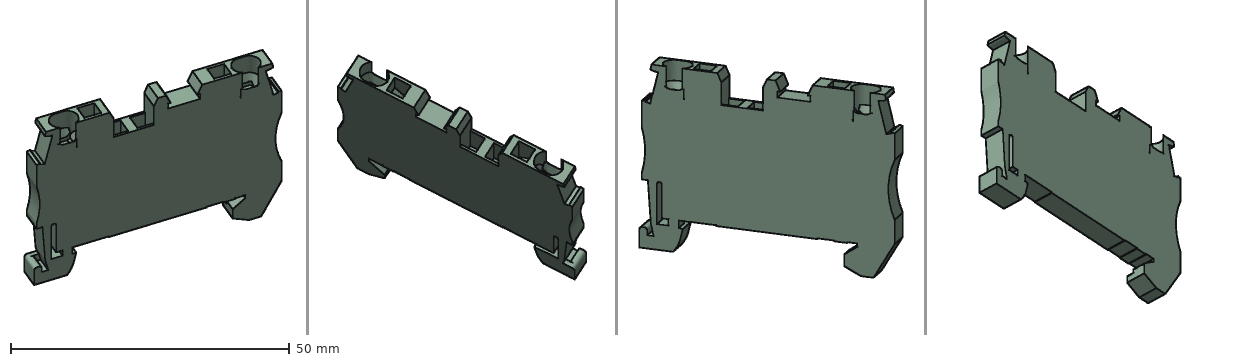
import cadquery as cq
import math


thickness = 4.15
height = 35.25
half_length = 24.3
foot_end = 24.8
base_z = 6.15

top_half_length = 22.45
ear_tip = (22.65, 34.3)
ear_lower_tip = (22.3, 34.1)
notch_top = (21.15, 33.9)
notch_bottom = (22.7, 27.75)
notch_lip_foot = (23.55, 28.0)
notch_lip = (23.6, 28.3)
shoulder_z = 28.1

grip_top_z = 23.05
hook_grip_bottom_z = 11.6
hook_grip_depth = 1.25
foot_grip_bottom_z = 14.35
foot_grip_depth = 0.65

hook_slope_z = 6.95
hook_heel_y = 20.25
hook_toe_y = 17.8
hook_tip_y = 14.6
hook_tip_bottom_z = 1.5
hook_tip_top_z = 2.95
hook_throat_y = 17.9
hook_throat_z = 5.2

rib_setback = 1.45
rib_throat_y = 17.1
rib_throat_z = 5.5
rib_tip_z = 3.75
stop_start_y = -19.15
stop_length = 1.95

shoulder_bottom_z = 13.05
leg_top_y = -23.15
leg_kink = (-22.6, 5.1)
leg_bottom_y = -22.35
heel_z = 4.05
heel_radius = 0.65
heel_round_inset = heel_radius * (1 - math.sqrt(0.5))
heel_ridge_width = 1.55
foot_sole_y = -18.25
foot_curve_mid = (-17.55, 1.05)
foot_curve_start = (-17.0, 2.25)
foot_toe = (-16.4, 4.6)
foot_slit_z = 4.9
ledge_groove_setback = 1.0
ledge_groove_depth = 1.45
slit_outer_y = -21.35
slit_width = 0.95
slit_top_z = 13.0

pad_height = 0.15
base_pads = [(-10.0, 9.45), (12.65, 15.05)]

flare_z = 33.6
groove_floor_z = 32.05
groove_snap_z = 33.2
groove_start_y = 1.75
groove_end_y = 8.1
groove_snap = 0.55
groove_mouth_start_y = 1.4
groove_mouth_end_y = 8.55
post_end_y = -0.25
recess_start_y = -9.0
recess_end_y = -1.05
recess_floor_z = 29.2
recess_flare_y = -9.75

well_width = 3.2
well_length = 3.05
well_depth = 5.9

pocket_width = 2.95
pocket_inner_y = 11.2
pocket_length = 3.35
pocket_shallow_depth = 3.95
pocket_floor_angle = 35

funnel_x = 0.25
funnel_y = 18.05
funnel_radius = 2.0
funnel_straight = 1.45
funnel_entry_depth = 3.95
throat_radius = 0.85
throat_angle = 60
lead_in_length = 0.95
lead_in_angle = 65
slot_width = 1.95
slot_corner_radius = 0.5
slot_ramp_length = 0.6
slot_ramp_angle = 30


def rise(run, angle):
    """Height gained over a horizontal run at a slope given in degrees."""
    return run * math.tan(math.radians(angle))


def prism(points, x_start, x_end):
    """Closed YZ polygon extruded between two X positions."""
    sketch = cq.Workplane("YZ", origin=(x_start, 0, 0)).polyline(points).close()
    return sketch.extrude(x_end - x_start)


def rib_prism(points):
    """Closed YZ polygon extruded from the rib setback through to the +X face."""
    return prism(points, rib_setback - thickness / 2, thickness / 2)


def box(width, y_start, y_end, z_bottom, z_top):
    """Box centred on X between the given Y and Z limits."""
    size_y = y_end - y_start
    size_z = z_top - z_bottom
    center = (0, (y_start + y_end) / 2, (z_bottom + z_top) / 2)
    return cq.Workplane("XY", origin=center).box(width, size_y, size_z)


def end_notch(side):
    """Points of the marker notch from the top corner down to the shoulder; side is +1 or -1."""
    points = [
        (top_half_length, height),
        ear_tip,
        ear_lower_tip,
        notch_top,
        notch_bottom,
        notch_lip_foot,
        notch_lip,
        (half_length, shoulder_z),
    ]
    return [(side * y, z) for y, z in points]


def body():
    """Full-thickness plate with the hook, the sprung foot and the notched top edge."""
    top_edge = [
        (recess_flare_y, height),
        (recess_start_y, flare_z),
        (recess_start_y, recess_floor_z),
        (recess_end_y, recess_floor_z),
        (recess_end_y, flare_z),
        (post_end_y, height),
        (groove_mouth_start_y, height),
        (groove_start_y + groove_snap, groove_snap_z),
        (groove_start_y, groove_snap_z),
        (groove_start_y, groove_floor_z),
        (groove_end_y, groove_floor_z),
        (groove_end_y, groove_snap_z),
        (groove_end_y - groove_snap, groove_snap_z),
        (groove_mouth_end_y, height),
    ]
    hook = [
        (half_length, hook_slope_z),
        (hook_heel_y, 0),
        (hook_toe_y, 0),
        (hook_tip_y, hook_tip_bottom_z),
        (hook_tip_y, hook_tip_top_z),
        (hook_throat_y, hook_throat_z),
        (hook_throat_y, base_z),
    ]
    slit_inner_y = slit_outer_y + slit_width
    slit_radius = slit_width / 2
    slit_shoulder_z = slit_top_z - slit_radius
    hook_grip_mid_z = (grip_top_z + hook_grip_bottom_z) / 2
    foot_grip_mid_z = (grip_top_z + foot_grip_bottom_z) / 2

    outline = cq.Workplane("YZ").polyline(top_edge + end_notch(1) + [(half_length, grip_top_z)])
    outline = outline.threePointArc(
        (half_length - hook_grip_depth, hook_grip_mid_z), (half_length, hook_grip_bottom_z)
    )
    outline = outline.polyline(hook, includeCurrent=True)
    outline = outline.lineTo(slit_inner_y, base_z).lineTo(slit_inner_y, slit_shoulder_z)
    outline = outline.threePointArc(
        (slit_inner_y - slit_radius, slit_top_z), (slit_outer_y, slit_shoulder_z)
    )
    outline = outline.lineTo(slit_outer_y, foot_slit_z).lineTo(stop_start_y, foot_slit_z)
    outline = outline.lineTo(*foot_toe).lineTo(*foot_curve_start)
    outline = outline.threePointArc(foot_curve_mid, (foot_sole_y, 0))
    outline = outline.lineTo(-foot_end, 0).lineTo(-foot_end, heel_z - heel_radius)
    outline = outline.threePointArc(
        (heel_round_inset - foot_end, heel_z - heel_round_inset), (heel_radius - foot_end, heel_z)
    )
    outline = outline.lineTo(leg_bottom_y, heel_z).lineTo(*leg_kink).lineTo(leg_top_y, shoulder_bottom_z)
    outline = outline.lineTo(-half_length, shoulder_bottom_z).lineTo(-half_length, foot_grip_bottom_z)
    outline = outline.threePointArc(
        (foot_grip_depth - half_length, foot_grip_mid_z), (-half_length, grip_top_z)
    )
    outline = outline.polyline(end_notch(-1)[::-1], includeCurrent=True).close()
    return outline.extrude(thickness / 2, both=True)


def hook_rib():
    """Raised lining along the throat and the sloped top of the hook."""
    points = [
        (hook_throat_y, base_z),
        (rib_throat_y, base_z),
        (rib_throat_y, rib_throat_z),
        (hook_tip_y, rib_tip_z),
        (hook_tip_y, hook_tip_top_z),
        (hook_throat_y, hook_throat_z),
    ]
    return rib_prism(points)


def foot_stop():
    """Stop block, reaching down to the toe level so that it is rooted in the foot."""
    stop_end_y = stop_start_y + stop_length
    points = [
        (stop_start_y, base_z),
        (stop_end_y, base_z),
        (stop_end_y, foot_toe[1]),
        (stop_start_y, foot_toe[1]),
    ]
    return rib_prism(points)


def ledge_groove():
    """Groove between the leg and the round-topped heel ridge; one wall continues the leg's lower slope."""
    kink_y, kink_z = leg_kink
    wall_slope = (leg_bottom_y - kink_y) / (kink_z - heel_z)
    floor_z = heel_z - ledge_groove_depth
    ridge_y = heel_ridge_width - foot_end
    start_x = ledge_groove_setback - thickness / 2

    sketch = cq.Workplane("YZ", origin=(start_x, 0, 0)).moveTo(leg_bottom_y, heel_z)
    sketch = sketch.lineTo(leg_bottom_y + wall_slope * ledge_groove_depth, floor_z)
    sketch = sketch.lineTo(ridge_y, floor_z).lineTo(ridge_y, heel_z - heel_radius)
    sketch = sketch.threePointArc(
        (ridge_y - heel_round_inset, heel_z - heel_round_inset), (ridge_y - heel_radius, heel_z)
    )
    return sketch.close().extrude(thickness - ledge_groove_setback)


def jumper_wells():
    """Two wells, one against each end wall of the jumper recess."""
    bottom_z = recess_floor_z - well_depth
    inner = box(well_width, recess_end_y - well_length, recess_end_y, bottom_z, recess_floor_z)
    outer = box(well_width, recess_start_y, recess_start_y + well_length, bottom_z, recess_floor_z)
    return inner.union(outer)


def test_pocket():
    """Square pocket of the +Y terminal; its floor falls towards the middle of the block."""
    outer_y = pocket_inner_y + pocket_length
    shallow_z = height - pocket_shallow_depth
    deep_z = shallow_z - rise(pocket_length, pocket_floor_angle)
    points = [
        (pocket_inner_y, height),
        (pocket_inner_y, deep_z),
        (outer_y, shallow_z),
        (outer_y, height),
    ]
    return prism(points, -pocket_width / 2, pocket_width / 2)


def funnel_column(top_z, depth, taper=0):
    """Round-ended column with the funnel's plan shape, narrowing downwards by the taper in degrees."""
    column = cq.Workplane("XY", origin=(funnel_x, funnel_y, top_z))
    column = column.slot2D(funnel_straight + 2 * funnel_radius, 2 * funnel_radius, 90)
    return column.extrude(-depth, taper=taper)


def wire_funnel():
    """Wire entry of the +Y terminal; its entry breaks through the +X side."""
    rim_z = height - funnel_entry_depth
    inner_y = funnel_y - funnel_straight / 2 - funnel_radius
    lead_in_end_y = inner_y + lead_in_length
    lead_in_end_z = rim_z - rise(lead_in_length, lead_in_angle)
    slot_floor_z = lead_in_end_z - rise(slot_ramp_length, slot_ramp_angle)
    slot_end_x = funnel_x + throat_radius
    slot_end_y = funnel_y + funnel_straight / 2 + throat_radius

    throat_depth = rise(funnel_radius - throat_radius, throat_angle)
    entry = funnel_column(height, funnel_entry_depth)
    throat = funnel_column(rim_z, throat_depth, 90 - throat_angle)

    lead_in = prism(
        [(inner_y, rim_z), (lead_in_end_y, lead_in_end_z), (lead_in_end_y, rim_z)],
        funnel_x - funnel_radius,
        funnel_x + funnel_radius,
    ).intersect(funnel_column(height, height - slot_floor_z))

    slot = prism(
        [
            (lead_in_end_y, rim_z),
            (lead_in_end_y, lead_in_end_z),
            (lead_in_end_y + slot_ramp_length, slot_floor_z),
            (slot_end_y, slot_floor_z),
            (slot_end_y, rim_z),
        ],
        slot_end_x - slot_width,
        slot_end_x,
    )
    slot = slot.faces(">Y").edges("|Z").fillet(slot_corner_radius)
    return entry.union(throat).union(lead_in).union(slot)


result = body().union(hook_rib()).union(foot_stop())
for pad_start_y, pad_end_y in base_pads:
    result = result.union(box(thickness, pad_start_y, pad_end_y, base_z - pad_height, base_z))

terminal_cutter = test_pocket().union(wire_funnel())
result = result.cut(ledge_groove()).cut(jumper_wells())
result = result.cut(terminal_cutter).cut(terminal_cutter.mirror("XZ"))